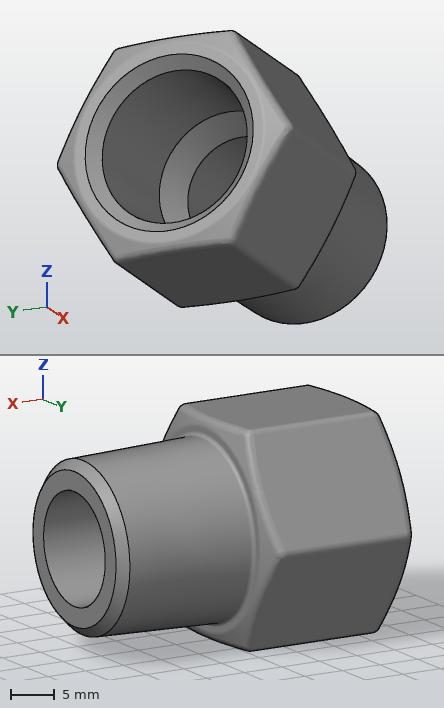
import cadquery as cq
import math

total_length = 37.0
hex_length = 19.6

hex_sides = 6
across_flats = 26.0
hex_edge_fillet = 1.0
end_chamfer_radius = 12.0
end_chamfer_angle = 20.0

taper_slope = 1 / 32
spigot_root_radius = 10.75
spigot_end_chamfer = 1.15
root_fillet = 0.5

mouth_radius = 10.6
socket_radius = 9.15
socket_depth = 15.5
bore_radius = 6.75
socket_floor_angle = 60.0


def revolve_about_x(points):
    """Revolve a closed (axial, radial) outline, drawn in the XZ plane, around the X axis."""
    return cq.Workplane("XZ").polyline(points).close().revolve(360, (0, 0, 0), (1, 0, 0))


def make_hexagon():
    """Hexagonal body with conical end chamfers and all its edges rounded."""
    across_corners = across_flats / math.cos(math.pi / hex_sides)
    prism = cq.Workplane("YZ").polygon(hex_sides, across_corners).extrude(hex_length)
    cone_radius = across_corners
    cone_depth = (cone_radius - end_chamfer_radius) * math.tan(math.radians(end_chamfer_angle))
    envelope = revolve_about_x([
        (0, 0),
        (0, end_chamfer_radius),
        (cone_depth, cone_radius),
        (hex_length - cone_depth, cone_radius),
        (hex_length, end_chamfer_radius),
        (hex_length, 0),
    ])
    return prism.intersect(envelope).edges().fillet(hex_edge_fillet)


def make_spigot():
    """Tapered male end with a concave root fillet and a chamfered tip."""
    taper_start = hex_length + root_fillet
    chamfer_start = total_length - spigot_end_chamfer
    small_radius = spigot_root_radius - (chamfer_start - taper_start) * taper_slope
    embedded_start = hex_length / 2
    outline = (
        cq.Workplane("XZ")
        .moveTo(embedded_start, 0)
        .lineTo(embedded_start, spigot_root_radius + root_fillet)
        .lineTo(hex_length, spigot_root_radius + root_fillet)
        .radiusArc((taper_start, spigot_root_radius), -root_fillet)
        .lineTo(chamfer_start, small_radius)
        .lineTo(total_length, small_radius - spigot_end_chamfer)
        .lineTo(total_length, 0)
        .close()
    )
    return outline.revolve(360, (0, 0, 0), (1, 0, 0))


def make_bore():
    """Mouth chamfer, tapered socket, conical floor and through bore."""
    mouth_depth = mouth_radius - socket_radius
    socket_end_radius = socket_radius - (socket_depth - mouth_depth) * taper_slope
    floor_rise = (socket_end_radius - bore_radius) * math.tan(math.radians(socket_floor_angle))
    return revolve_about_x([
        (0, 0),
        (0, mouth_radius),
        (mouth_depth, socket_radius),
        (socket_depth, socket_end_radius),
        (socket_depth + floor_rise, bore_radius),
        (total_length, bore_radius),
        (total_length, 0),
    ])


result = make_hexagon().union(make_spigot()).cut(make_bore())